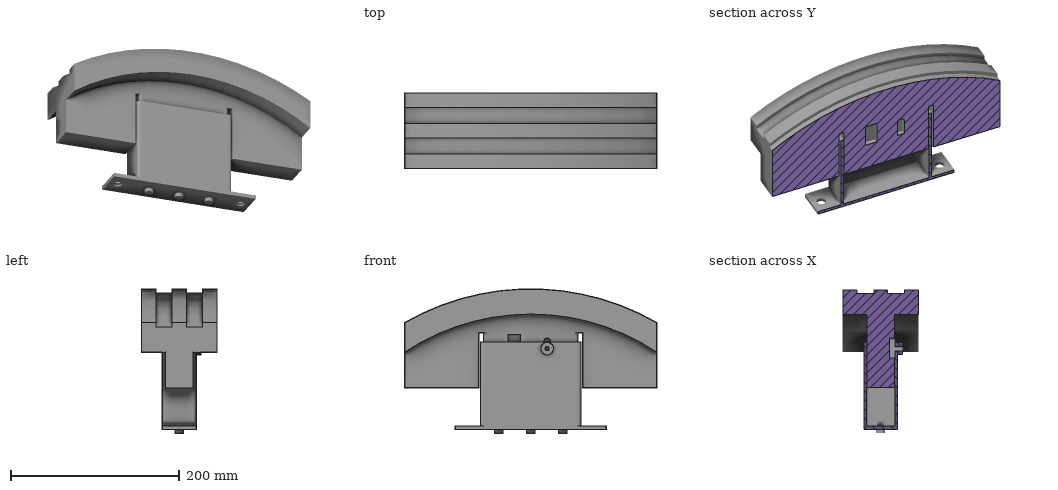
import cadquery as cq
import math

PIN_PROJECTION = 4.5
PLATE_THICKNESS = 4.5
PLATE_TOP = PIN_PROJECTION + PLATE_THICKNESS
RIM_HEIGHT = 109.0
WEB_BOTTOM = 54.0
NOTCH_TOP = 119.7
CREST_HEIGHT = 172.0

SHOE_LENGTH = 300.0
SHOE_WIDTH = 90.0
CROWN_RADIUS = 300.0
FLANGE_THICKNESS = 30.0
ARC_CENTER_Z = CREST_HEIGHT - CROWN_RADIUS
GROOVE_WIDTH = 19.2
GROOVE_DEPTH = 4.5
LAND_WIDTH = (SHOE_WIDTH - 2 * GROOVE_WIDTH) / 3
GROOVE_OFFSET = (LAND_WIDTH + GROOVE_WIDTH) / 2
NOTCH_WIDTH = 123.5

BOX_LENGTH = 120.0
BOX_WIDTH = 40.5
WALL = 3.5
TONGUE_LENGTH = BOX_LENGTH - 2 * WALL
TONGUE_WIDTH = BOX_WIDTH - 2 * WALL
TONGUE_CORNER_RADIUS = 3.0
BOX_CORNER_RADIUS = 4.0
PLATE_LENGTH = 180.0
FOOT_HOLE_DIAMETER = 11.0
FOOT_HOLE_X = 78.0

RECESS_X = 19.5
RECESS_DEPTH = 6.0
RECESS_BOTTOM = 90.0
SQUARE_RECESS_WIDTH = 14.7
SQUARE_RECESS_TOP = 118.0
ROUND_RECESS_WIDTH = 8.0
ROUND_RECESS_TOP = 113.5
BOSS_DIAMETER = 15.0
BOSS_LENGTH = 5.7
BOSS_BORE = 4.8
BOSS_Z = 100.8

PIN_DIAMETER = 10.5
PIN_PITCH = 38.0
PIN_POSITIONS = [-PIN_PITCH, 0, PIN_PITCH]


def block(length, width, bottom, top):
    """Upright block centred on the Z axis."""
    return cq.Workplane("XY").workplane(offset=bottom).rect(length, width).extrude(top - bottom)


def under_arc(radius, width, bottom):
    """Full-length block whose top is a cylinder about the common arc axis."""
    half_length = SHOE_LENGTH / 2
    end_z = ARC_CENTER_Z + math.sqrt(radius**2 - half_length**2)
    return (
        cq.Workplane("XZ")
        .moveTo(-half_length, bottom)
        .lineTo(-half_length, end_z)
        .threePointArc((0, ARC_CENTER_Z + radius), (half_length, end_z))
        .lineTo(half_length, bottom)
        .close()
        .extrude(width / 2, both=True)
    )


def make_flange():
    inner_radius = CROWN_RADIUS - FLANGE_THICKNESS
    flange = under_arc(CROWN_RADIUS, SHOE_WIDTH, WEB_BOTTOM).cut(
        under_arc(inner_radius, SHOE_WIDTH, WEB_BOTTOM)
    )
    above_groove_floor = under_arc(CROWN_RADIUS, GROOVE_WIDTH, WEB_BOTTOM).cut(
        under_arc(CROWN_RADIUS - GROOVE_DEPTH, GROOVE_WIDTH, WEB_BOTTOM)
    )
    for side in (-1, 1):
        flange = flange.cut(above_groove_floor.translate((0, side * GROOVE_OFFSET, 0)))
    return flange


def make_tongue():
    tongue = block(TONGUE_LENGTH, TONGUE_WIDTH, WEB_BOTTOM, NOTCH_TOP)
    tongue = tongue.edges("|Z").fillet(TONGUE_CORNER_RADIUS)
    face_y = -TONGUE_WIDTH / 2
    square_recess = block(
        SQUARE_RECESS_WIDTH, 2 * RECESS_DEPTH, RECESS_BOTTOM, SQUARE_RECESS_TOP
    ).translate((-RECESS_X, face_y, 0))
    round_center_z = ROUND_RECESS_TOP - ROUND_RECESS_WIDTH / 2
    round_recess = block(
        ROUND_RECESS_WIDTH, 2 * RECESS_DEPTH, RECESS_BOTTOM, round_center_z
    ).translate((RECESS_X, face_y, 0))
    round_end = (
        cq.Workplane("XZ", origin=(RECESS_X, face_y, round_center_z))
        .circle(ROUND_RECESS_WIDTH / 2)
        .extrude(RECESS_DEPTH, both=True)
    )
    return tongue.cut(square_recess).cut(round_recess).cut(round_end)


def make_shoe():
    """Grooved curved flange on a notched web, with a tongue hanging in the notch."""
    web = under_arc(CROWN_RADIUS - FLANGE_THICKNESS, TONGUE_WIDTH, WEB_BOTTOM)
    web = web.cut(block(NOTCH_WIDTH, TONGUE_WIDTH, WEB_BOTTOM, NOTCH_TOP))
    return make_flange().union(web).union(make_tongue())


def make_housing():
    """Open-topped box on a base plate with two drilled feet and a bored boss."""
    box = block(BOX_LENGTH, BOX_WIDTH, PLATE_TOP, RIM_HEIGHT)
    box = box.edges("|Z").fillet(BOX_CORNER_RADIUS)
    cavity = block(TONGUE_LENGTH, TONGUE_WIDTH, PLATE_TOP, RIM_HEIGHT)
    cavity = cavity.edges("|Z").fillet(TONGUE_CORNER_RADIUS)
    plate = block(PLATE_LENGTH, BOX_WIDTH, PIN_PROJECTION, PLATE_TOP)
    foot_holes = (
        cq.Workplane("XY")
        .workplane(offset=PIN_PROJECTION)
        .pushPoints([(-FOOT_HOLE_X, 0), (FOOT_HOLE_X, 0)])
        .circle(FOOT_HOLE_DIAMETER / 2)
        .extrude(PLATE_THICKNESS)
    )
    wall_face = cq.Workplane("XZ", origin=(RECESS_X, -BOX_WIDTH / 2, BOSS_Z))
    boss = wall_face.circle(BOSS_DIAMETER / 2).extrude(BOSS_LENGTH)
    bore = (
        wall_face.workplane(offset=-WALL).circle(BOSS_BORE / 2).extrude(WALL + BOSS_LENGTH)
    )
    housing = box.cut(cavity).union(plate).union(boss).cut(bore).cut(foot_holes)
    for pin in make_pins():
        housing = housing.cut(pin)
    return housing


def make_pin(x):
    """Round pin that fills its hole in the base plate and projects below it."""
    return cq.Workplane("XY").center(x, 0).circle(PIN_DIAMETER / 2).extrude(PLATE_TOP)


def make_pins():
    return [make_pin(x) for x in PIN_POSITIONS]


shoe = make_shoe()
housing = make_housing()
pins = make_pins()

result = cq.Compound.makeCompound([shoe.val(), housing.val(), *[pin.val() for pin in pins]])